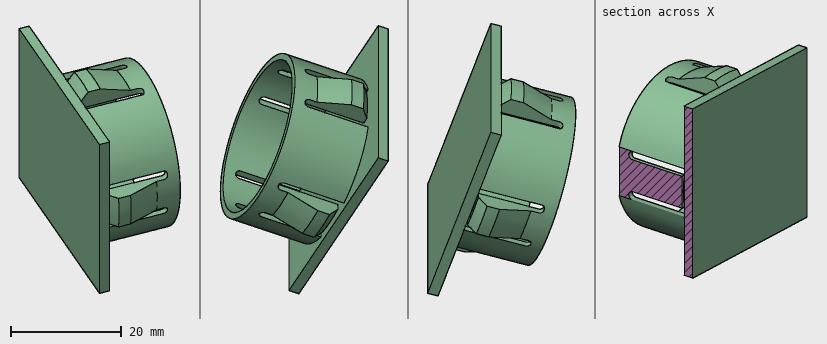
import cadquery as cq

plate_width = 37.6
plate_height = 33.75
plate_thickness = 2.0

total_depth = 17.0
collar_x = 0.4
collar_z = -0.45
collar_radius = 15.7
wall_thickness = 1.2
inner_radius = collar_radius - wall_thickness

tab_count = 4
tab_width = 6.45
slot_width = 1.55
slot_end_inset = 2.3
barb_radius = 17.725
barb_ramp_inset = 4.55
barb_crest_inset = 10.5
barb_crest_length = 2.35
tab_end_gap = 0.5

window_width = tab_width + 2 * slot_width
slot_end_y = total_depth - slot_end_inset
slot_offset = (tab_width + slot_width) / 2
tab_tip_y = plate_thickness + tab_end_gap


def make_plate():
    return cq.Workplane("XY").box(
        plate_width, plate_thickness, plate_height, centered=(True, False, True)
    )


def revolve_about_y(points):
    """Revolve a closed (radius, Y) outline about the Y axis."""
    return cq.Workplane("XY").polyline(points).close().revolve(360, (0, 0), (0, 1))


def make_collar():
    return revolve_about_y([
        (inner_radius, plate_thickness),
        (collar_radius, plate_thickness),
        (collar_radius, total_depth),
        (inner_radius, total_depth),
    ])


def make_window_cutter():
    """Opening on the +X side: both slots with rounded ends, and the tip gap."""
    depth = slot_end_y - plate_thickness
    slot_radius = slot_width / 2
    straight = depth - slot_radius
    cutter = cq.Workplane("XY").box(
        barb_radius, tab_tip_y - plate_thickness, window_width, centered=(False, False, True)
    ).translate((0, plate_thickness, 0))
    for z in (-slot_offset, slot_offset):
        slot = cq.Workplane("XY").box(
            barb_radius, straight, slot_width, centered=(False, False, True)
        ).translate((0, plate_thickness, z))
        slot_end = (
            cq.Workplane("YZ")
            .center(slot_end_y - slot_radius, z)
            .circle(slot_radius)
            .extrude(barb_radius)
        )
        cutter = cutter.union(slot).union(slot_end)
    return cutter


def make_barb():
    """Tab on the +X side: a strip of a revolved barb ring."""
    crest_start_y = total_depth - barb_crest_inset
    ring = revolve_about_y([
        (inner_radius, tab_tip_y),
        (collar_radius, tab_tip_y),
        (barb_radius, crest_start_y - barb_crest_length),
        (barb_radius, crest_start_y),
        (collar_radius, total_depth - barb_ramp_inset),
        (inner_radius, total_depth - barb_ramp_inset),
    ])
    strip = cq.Workplane("XY").box(
        2 * barb_radius, total_depth, tab_width, centered=(False, False, True)
    )
    return ring.intersect(strip)


collar = make_collar()
window_cutter = make_window_cutter()
barb = make_barb()
for index in range(tab_count):
    angle = index * 360 / tab_count
    collar = collar.cut(window_cutter.rotate((0, 0, 0), (0, 1, 0), angle))
    collar = collar.union(barb.rotate((0, 0, 0), (0, 1, 0), angle))

result = make_plate().union(collar.translate((collar_x, 0, collar_z)))